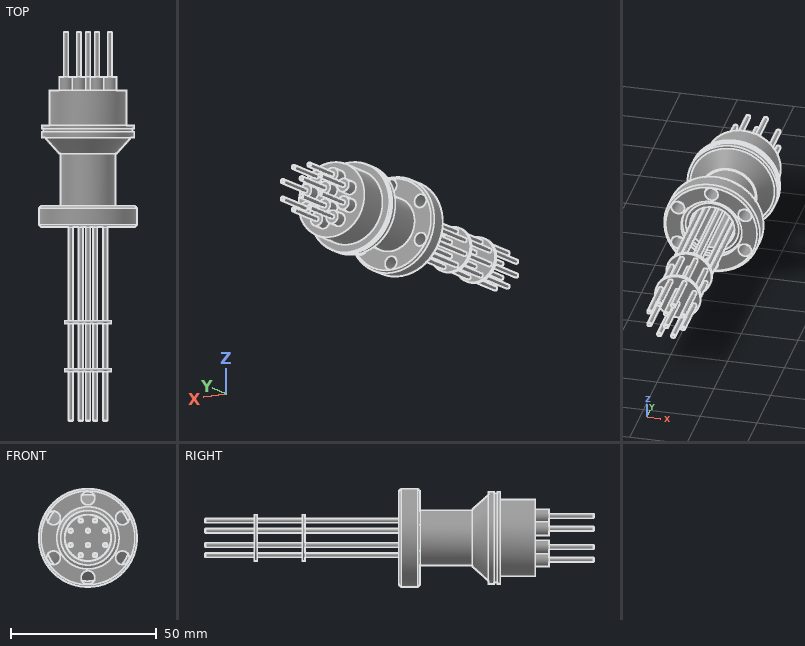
import cadquery as cq
import math


flange_diameter = 33.7
flange_radius = flange_diameter / 2
flange_thickness = 7.3
flange_chamfer = 0.8
recess_radius = 10.7
recess_depth = 1.9
knife_radius = 9.3
knife_height = 0.7
bolt_count = 6
bolt_circle_radius = 13.6
bolt_hole_diameter = 4.7

neck_radius = 9.5
bore_radius = 7.9
cone_start = 25.2
cone_start_radius = 9.9
lip_start = 30.7
cone_end_radius = 14.8
lip_radius = 15.9
lip_end = 34.8
groove_start = 32.7
groove_end = 33.7
groove_depth = 0.5

body_radius = 13.2
body_end = 46.8
sleeve_end = 51.5
sleeve_diameter = 4.7

overall_length = 133.4
air_tip = 67.0
vacuum_tip = air_tip - overall_length
pin_diameter = 1.6
tip_chamfer = 0.3
pins_in_ring = 8
air_ring_radius = 8.1
vacuum_ring_radius = 6.4

spacer_radius = 8.0
spacer_thickness = 1.1
spacer_starts = [-33.1, -49.5]


def ring_places(count, ring_radius):
    """X, Z places evenly spaced on a circle, starting half a step from +X."""
    step = 2 * math.pi / count
    angles = [(i + 0.5) * step for i in range(count)]
    return [(ring_radius * math.cos(a), ring_radius * math.sin(a)) for a in angles]


def pin_places(ring_radius):
    """A ring of pins plus two inner pins level with the ring pins nearest the X axis."""
    inner_height = ring_radius * math.sin(math.pi / pins_in_ring)
    return ring_places(pins_in_ring, ring_radius) + [(0, inner_height), (0, -inner_height)]


def rods(places, diameter, start, end):
    """Round rods along Y from start to end, one at each X, Z place."""
    plane = cq.Workplane("XZ", origin=(0, start, 0))
    return plane.pushPoints(places).circle(diameter / 2).extrude(start - end)


def revolved_housing():
    """Flange, neck, cone, lip and rear body as one profile turned about Y."""
    knife_depth = recess_depth - knife_height
    groove_radius = lip_radius - groove_depth
    profile = [
        (0, lip_start),
        (bore_radius, lip_start),
        (bore_radius, knife_depth),
        (knife_radius, knife_depth),
        (recess_radius, recess_depth),
        (recess_radius, 0),
        (flange_radius - flange_chamfer, 0),
        (flange_radius, flange_chamfer),
        (flange_radius, flange_thickness - flange_chamfer),
        (flange_radius - flange_chamfer, flange_thickness),
        (neck_radius, flange_thickness),
        (neck_radius, cone_start),
        (cone_start_radius, cone_start),
        (cone_end_radius, lip_start),
        (lip_radius, lip_start),
        (lip_radius, groove_start),
        (groove_radius, groove_start),
        (groove_radius, groove_end),
        (lip_radius, groove_end),
        (lip_radius, lip_end),
        (body_radius, lip_end),
        (body_radius, body_end),
        (0, body_end),
    ]
    return cq.Workplane("XY").polyline(profile).close().revolve(360, (0, 0, 0), (0, 1, 0))


def bolt_holes():
    """Cutters for the through holes of the flange."""
    places = ring_places(bolt_count, bolt_circle_radius)
    return rods(places, bolt_hole_diameter, 0, flange_thickness)


def air_side():
    """Pins with their short insulating sleeves behind the rear body."""
    places = pin_places(air_ring_radius)
    pins = rods(places, pin_diameter, body_end, air_tip).faces(">Y").chamfer(tip_chamfer)
    sleeves = rods(places, sleeve_diameter, body_end, sleeve_end)
    return pins.union(sleeves)


def vacuum_side():
    """Long pins starting at the end of the bore, tied together by the spacer discs."""
    places = pin_places(vacuum_ring_radius)
    assembly = rods(places, pin_diameter, vacuum_tip, lip_start).faces("<Y").chamfer(tip_chamfer)
    for start in spacer_starts:
        spacer = rods([(0, 0)], 2 * spacer_radius, start, start + spacer_thickness)
        assembly = assembly.union(spacer)
    return assembly


housing = revolved_housing().cut(bolt_holes())
result = housing.union(air_side()).union(vacuum_side())